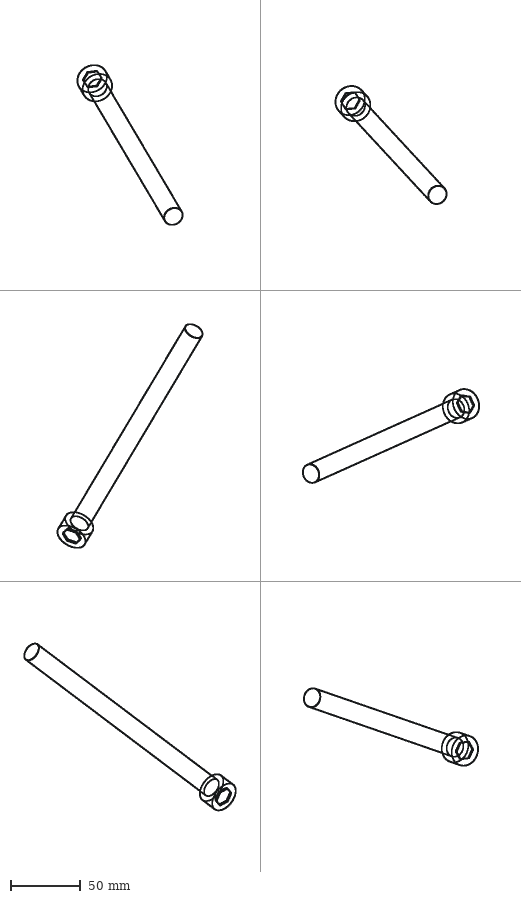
import cadquery as cq
import math

total_length = 214.0
shank_diameter = 14.0
head_diameter = 22.0
head_height = shank_diameter
socket_across_flats = 12.0
socket_depth = 1.5
tip_chamfer = 0.2


def make_head():
    return cq.Workplane("YZ").circle(head_diameter / 2).extrude(head_height)


def make_shank():
    shank = cq.Workplane("YZ").circle(shank_diameter / 2).extrude(total_length)
    return shank.faces(">X").chamfer(tip_chamfer)


def make_socket():
    across_corners = socket_across_flats / math.cos(math.pi / 6)
    return cq.Workplane("YZ").polygon(6, across_corners).extrude(socket_depth)


result = make_head().union(make_shank()).cut(make_socket())